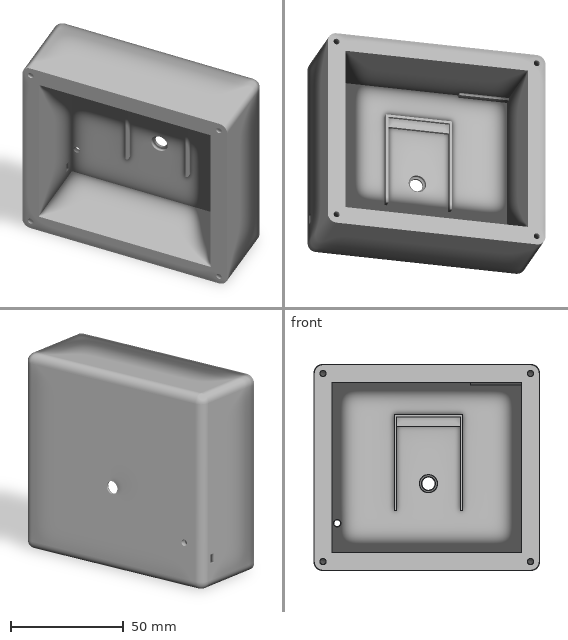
import cadquery as cq

WIDTH = 100.0
DEPTH = 37.4
HEIGHT = 91.4
EDGE_RADIUS = 4.0
SIDE_WALL = 8.0
BACK_WALL = 2.4

FRONT_Y = -DEPTH / 2
BACK_Y = DEPTH / 2
FLOOR_Y = BACK_Y - BACK_WALL
CAVITY_WIDTH = WIDTH - 2 * SIDE_WALL
CAVITY_HEIGHT = HEIGHT - 2 * SIDE_WALL

SCREW_DIAMETER = 2.7
SCREW_INSET = 4.0
SCREW_DEPTH = 10.0
DRILL_TIP_RATIO = 0.6

CABLE_HOLE_X = 0.75
CABLE_HOLE_Z = -7.15
CABLE_HOLE_DIAMETER = 5.93
CABLE_BORE_DIAMETER = 8.0
CABLE_BORE_DEPTH = 1.4

LED_HOLE_X = -39.7
LED_HOLE_Z = -24.7
LED_HOLE_DIAMETER = 3.04

BRACKET_WIDTH = 30.3
BRACKET_SIDE_WALL = 1.0
BRACKET_TOP_WALL = 1.1
BRACKET_TOP_Z = 23.5
BRACKET_BOTTOM_Z = -19.1
BRACKET_RISE = 3.0
BRACKET_STEP_HEIGHT = 4.2
BRACKET_STEP_RISE = 1.5

RIB_LENGTH = 22.6
RIB_HEIGHT = 1.1
RIB_RISE = 3.0

SLOT_WIDTH = 2.3
SLOT_HEIGHT = 4.2
SLOT_FROM_BACK = 7.0
SLOT_Z = -31.7


def block(x_min, x_max, y_min, y_max, z_min, z_max):
    """Box given by its limits along each axis."""
    size = (x_max - x_min, y_max - y_min, z_max - z_min)
    return cq.Workplane("XY").box(*size, centered=False).translate((x_min, y_min, z_min))


def cylinder(x, z, diameter, y_start, length):
    """Cylinder running in +Y from y_start."""
    return cq.Workplane(cq.Solid.makeCylinder(
        diameter / 2, length, cq.Vector(x, y_start, z), cq.Vector(0, 1, 0)))


def make_shell():
    """Box with rounded corner and back edges, hollowed from the front."""
    body = cq.Workplane("XY").box(WIDTH, DEPTH, HEIGHT)
    body = body.edges("|Y").fillet(EDGE_RADIUS).faces(">Y").edges().fillet(EDGE_RADIUS)
    cavity = block(-CAVITY_WIDTH / 2, CAVITY_WIDTH / 2, FRONT_Y, FLOOR_Y,
                   -CAVITY_HEIGHT / 2, CAVITY_HEIGHT / 2)
    return body.cut(cavity)


def make_screw_hole(x, z):
    """Blind hole with a conical drill tip."""
    radius = SCREW_DIAMETER / 2
    tip = cq.Workplane(cq.Solid.makeCone(
        radius, 0, radius * DRILL_TIP_RATIO,
        cq.Vector(x, FRONT_Y + SCREW_DEPTH, z), cq.Vector(0, 1, 0)))
    return cylinder(x, z, SCREW_DIAMETER, FRONT_Y, SCREW_DEPTH).union(tip)


def make_bracket():
    """Three-sided wall with a lower step under its top wall."""
    left = CABLE_HOLE_X - BRACKET_WIDTH / 2
    right = CABLE_HOLE_X + BRACKET_WIDTH / 2
    inner_left = left + BRACKET_SIDE_WALL
    inner_right = right - BRACKET_SIDE_WALL
    inner_top = BRACKET_TOP_Z - BRACKET_TOP_WALL
    front = FLOOR_Y - BRACKET_RISE
    frame = block(left, right, front, FLOOR_Y, BRACKET_BOTTOM_Z, BRACKET_TOP_Z)
    opening = block(inner_left, inner_right, front, FLOOR_Y, BRACKET_BOTTOM_Z, inner_top)
    step = block(inner_left, inner_right, FLOOR_Y - BRACKET_STEP_RISE, FLOOR_Y,
                 inner_top - BRACKET_STEP_HEIGHT, inner_top)
    return frame.cut(opening).union(step)


def make_rib():
    """Rib against the top of the cavity, ending at the +X wall."""
    right = CAVITY_WIDTH / 2
    top = CAVITY_HEIGHT / 2
    return block(right - RIB_LENGTH, right, FLOOR_Y - RIB_RISE, FLOOR_Y, top - RIB_HEIGHT, top)


def make_side_slot():
    """Rectangular slot through the -X wall into the cavity."""
    y_center = BACK_Y - SLOT_FROM_BACK
    return block(-WIDTH / 2, -WIDTH / 2 + SIDE_WALL,
                 y_center - SLOT_WIDTH / 2, y_center + SLOT_WIDTH / 2,
                 SLOT_Z - SLOT_HEIGHT / 2, SLOT_Z + SLOT_HEIGHT / 2)


def cut_screw_holes(part):
    """Drill one blind hole at each corner of the rim."""
    hole_x = WIDTH / 2 - SCREW_INSET
    hole_z = HEIGHT / 2 - SCREW_INSET
    for x in (-hole_x, hole_x):
        for z in (-hole_z, hole_z):
            part = part.cut(make_screw_hole(x, z))
    return part


def make_cable_hole():
    """Through hole in the back wall, counterbored from inside the box."""
    hole = cylinder(CABLE_HOLE_X, CABLE_HOLE_Z, CABLE_HOLE_DIAMETER, FLOOR_Y, BACK_WALL)
    bore = cylinder(CABLE_HOLE_X, CABLE_HOLE_Z, CABLE_BORE_DIAMETER, FLOOR_Y, CABLE_BORE_DEPTH)
    return hole.union(bore)


def make_led_hole():
    """Plain through hole in the back wall."""
    return cylinder(LED_HOLE_X, LED_HOLE_Z, LED_HOLE_DIAMETER, FLOOR_Y, BACK_WALL)


enclosure = make_shell().union(make_bracket()).union(make_rib())
enclosure = cut_screw_holes(enclosure)
result = enclosure.cut(make_cable_hole()).cut(make_led_hole()).cut(make_side_slot())